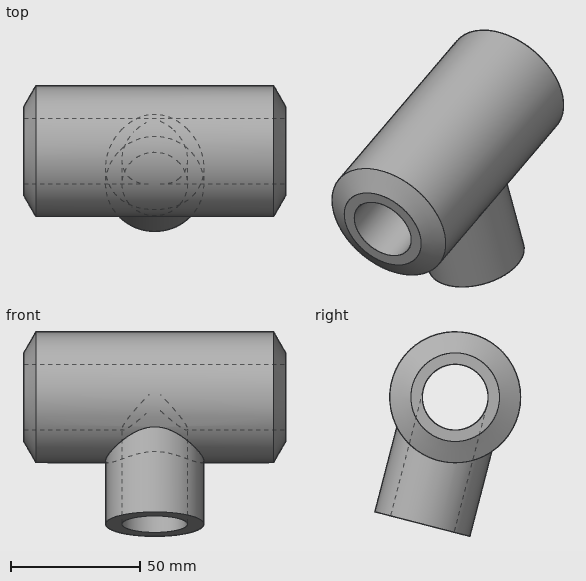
import cadquery as cq
import math

body_length = 101.6
body_diameter = 50.8
bore_diameter = 25.4

bevel_depth = 8.2
bevel_angle = 60.0
bevel_length = bevel_depth / math.tan(math.radians(bevel_angle))

branch_diameter = 38.1
branch_length = 50.8
branch_tilt = 14.5


def make_body():
    """Solid main cylinder with a bevel at both ends."""
    half_length = body_length / 2
    radius = body_diameter / 2
    end_radius = radius - bevel_depth
    shoulder = half_length - bevel_length
    profile = [
        (-half_length, 0),
        (-half_length, end_radius),
        (-shoulder, radius),
        (shoulder, radius),
        (half_length, end_radius),
        (half_length, 0),
    ]
    return cq.Workplane("XY").polyline(profile).close().revolve(360, (0, 0, 0), (1, 0, 0))


def make_branch_cylinder(diameter):
    """Cylinder from the main axis out along the tilted branch axis."""
    cylinder = cq.Workplane("XY").circle(diameter / 2).extrude(-branch_length)
    return cylinder.rotate((0, 0, 0), (1, 0, 0), -branch_tilt)


main_bore = cq.Workplane("YZ").circle(bore_diameter / 2).extrude(body_length / 2, both=True)

result = (
    make_body()
    .union(make_branch_cylinder(branch_diameter))
    .cut(main_bore)
    .cut(make_branch_cylinder(bore_diameter))
)